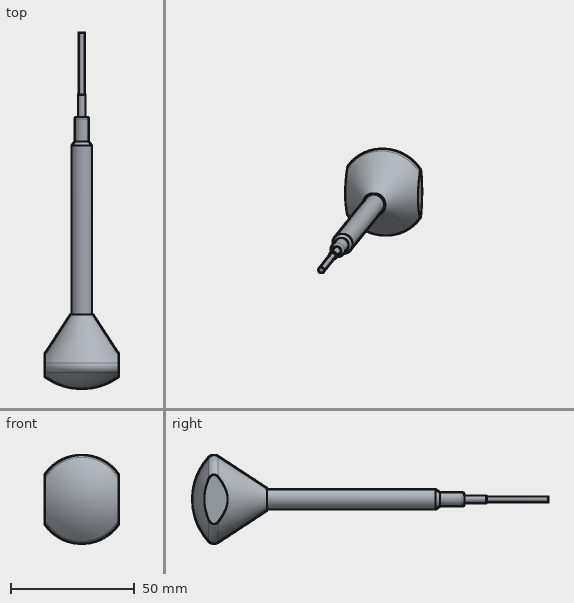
import cadquery as cq
import math


total_length = 144
tip_length = 24.9
sleeve_length = 9.0
collar_length = 10.0
taper_length = 1.7
head_length = 30.2

tip_radius = 1.22
sleeve_radius = 1.6
collar_radius = 2.9
shaft_radius = 4.2

sleeve_chamfer = 0.3
collar_round = 0.9

head_radius = 18.0
head_width = 30.0
neck_radius = 4.6
dome_radius = 25.0
rim_round = 3.0


def revolve_about_axis(outline):
    """Turn an outline of (radius, Y) points about the Y axis."""
    return outline.close().revolve(360, (0, 0, 0), (0, 1, 0))


def make_shank():
    """Tip, sleeve, collar and shaft, each wider than the one before it."""
    tip_start = total_length - tip_length
    sleeve_start = tip_start - sleeve_length
    taper_end = sleeve_start - collar_length
    shaft_end = taper_end - taper_length
    round_inset = collar_round * (1 - math.sqrt(0.5))
    round_middle = (collar_radius - round_inset, sleeve_start - round_inset)

    outline = (
        cq.Workplane("ZY")
        .moveTo(0, head_length)
        .lineTo(shaft_radius, head_length)
        .lineTo(shaft_radius, shaft_end)
        .lineTo(collar_radius, taper_end)
        .lineTo(collar_radius, sleeve_start - collar_round)
        .threePointArc(round_middle, (collar_radius - collar_round, sleeve_start))
        .lineTo(sleeve_radius, sleeve_start)
        .lineTo(sleeve_radius, tip_start - sleeve_chamfer)
        .lineTo(sleeve_radius - sleeve_chamfer, tip_start)
        .lineTo(tip_radius, tip_start)
        .lineTo(tip_radius, total_length)
        .lineTo(0, total_length)
    )
    return revolve_about_axis(outline)


def make_head():
    """Cone, rounded rim and spherical dome, cut flat on both X sides."""
    rim_r = head_radius - rim_round
    rim_y = dome_radius - math.sqrt((dome_radius - rim_round) ** 2 - rim_r**2)

    neck_dr = rim_r - neck_radius
    neck_dy = head_length - rim_y
    neck_distance = math.hypot(neck_dr, neck_dy)
    cone_angle = math.atan2(neck_dr, neck_dy) + math.asin(rim_round / neck_distance)
    cone_touch = (
        rim_r + rim_round * math.cos(cone_angle),
        rim_y + rim_round * math.sin(cone_angle),
    )
    dome_angle = math.asin(rim_r / (dome_radius - rim_round))
    dome_touch = (
        dome_radius * math.sin(dome_angle),
        dome_radius * (1 - math.cos(dome_angle)),
    )
    dome_middle = (
        dome_radius * math.sin(dome_angle / 2),
        dome_radius * (1 - math.cos(dome_angle / 2)),
    )

    outline = (
        cq.Workplane("ZY")
        .moveTo(0, head_length)
        .lineTo(neck_radius, head_length)
        .lineTo(*cone_touch)
        .threePointArc((head_radius, rim_y), dome_touch)
        .threePointArc(dome_middle, (0, 0))
    )
    flats = cq.Workplane("XY").box(
        head_width, head_length, 2 * head_radius, centered=(True, False, True)
    )
    return revolve_about_axis(outline).intersect(flats)


result = make_head().union(make_shank())